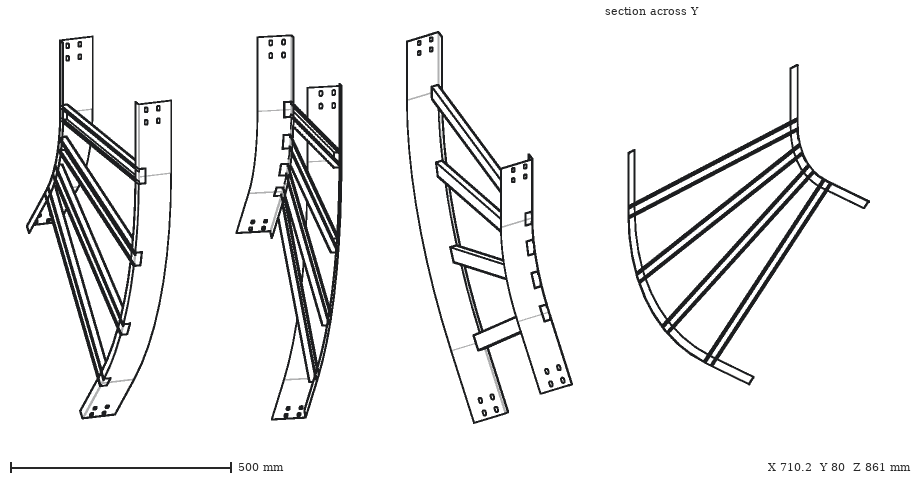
import cadquery as cq

BEND_ANGLE = 45.0
INNER_RADIUS = 300.0
TRAY_WIDTH = 500.0
OUTER_RADIUS = INNER_RADIUS + TRAY_WIDTH
STRAIGHT_LENGTH = 173.0

RAIL_HEIGHT = 80.0
RAIL_FLANGE = 20.0
RAIL_SHEET = 1.5
RAIL_BEND_RADIUS = 2.0

RUNG_COUNT = 4
RUNG_WIDTH = 37.0
RUNG_DEPTH = 17.0
RUNG_LIP = 7.0
RUNG_SHEET = 1.5

SLOT_LENGTH = 12.0
SLOT_WIDTH = 7.0
SLOT_END_DISTANCES = (15.0, 45.0)
SLOT_HEIGHTS = (19.0, 49.0)


def bent_sweep(profile):
    """Carry an XY-plane profile along the elbow: straight run, arc, straight run."""
    upper_run = profile.extrude(STRAIGHT_LENGTH)
    bend = profile.toPending().revolve(BEND_ANGLE, (0, 0, 0), (0, 1, 0))
    lower_run = turn(upper_run.mirror("XY"), BEND_ANGLE)
    return bend.union(upper_run).union(lower_run)


def turn(body, angle):
    """Rotate a body about the bend axis, from +X towards -Z."""
    return body.rotate((0, 0, 0), (0, 1, 0), angle)


def end_slots(web_face):
    """Bolt-slot cutters through one rail web, at both of its ends."""
    heights_along_z = [STRAIGHT_LENGTH - distance for distance in SLOT_END_DISTANCES]
    centres = [(y, z) for y in SLOT_HEIGHTS for z in heights_along_z]
    upper = (
        cq.Workplane("YZ", origin=(web_face, 0, 0))
        .pushPoints(centres)
        .slot2D(SLOT_LENGTH, SLOT_WIDTH, 90)
        .extrude(2 * RAIL_SHEET, both=True)
    )
    lower = turn(upper.mirror("XY"), BEND_ANGLE)
    return upper.union(lower)


def rail(web_face, flange_side):
    """L-section rail with its web outside face at radius web_face and its flange at
    the Y = 0 end, pointing away from the bend axis (+1) or towards it (-1)."""
    inside_bend_radius = RAIL_BEND_RADIUS - RAIL_SHEET
    web_back = web_face + flange_side * RAIL_SHEET
    flange_tip = web_face + flange_side * RAIL_FLANGE
    bend_end = web_face + flange_side * RAIL_BEND_RADIUS
    profile = (
        cq.Workplane("XY")
        .moveTo(web_face, RAIL_HEIGHT)
        .lineTo(web_face, RAIL_BEND_RADIUS)
        .radiusArc((bend_end, 0), -flange_side * RAIL_BEND_RADIUS)
        .lineTo(flange_tip, 0)
        .lineTo(flange_tip, RAIL_SHEET)
        .lineTo(bend_end, RAIL_SHEET)
        .radiusArc((web_back, RAIL_BEND_RADIUS), flange_side * inside_bend_radius)
        .lineTo(web_back, RAIL_HEIGHT)
        .close()
    )
    return bent_sweep(profile).cut(end_slots(web_face))


def rung():
    """Lipped channel along X, open towards the rail flanges and seated against them."""
    half_width = RUNG_WIDTH / 2
    mouth_half_width = half_width - RUNG_LIP
    cavity_half_width = half_width - RUNG_SHEET
    lip_front = RAIL_SHEET
    lip_back = lip_front + RUNG_SHEET
    web_back = lip_front + RUNG_DEPTH
    web_front = web_back - RUNG_SHEET
    section = [
        (lip_front, mouth_half_width),
        (lip_front, half_width),
        (web_back, half_width),
        (web_back, -half_width),
        (lip_front, -half_width),
        (lip_front, -mouth_half_width),
        (lip_back, -mouth_half_width),
        (lip_back, -cavity_half_width),
        (web_front, -cavity_half_width),
        (web_front, cavity_half_width),
        (lip_back, cavity_half_width),
        (lip_back, mouth_half_width),
    ]
    return cq.Workplane("YZ", origin=(INNER_RADIUS, 0, 0)).polyline(section).close().extrude(TRAY_WIDTH)


def space_between_webs():
    """Everything enclosed by the two rail webs, behind the flanges."""
    profile = (
        cq.Workplane("XY")
        .moveTo(INNER_RADIUS + RAIL_SHEET / 2, RAIL_SHEET)
        .rect(TRAY_WIDTH - RAIL_SHEET, RAIL_HEIGHT - RAIL_SHEET, centered=False)
    )
    return bent_sweep(profile)


def rungs():
    """Rungs spread evenly over the bend, with their ends trimmed to the rail webs."""
    pitch = BEND_ANGLE / (RUNG_COUNT - 1)
    rung_set = rung()
    for index in range(1, RUNG_COUNT):
        rung_set = rung_set.union(turn(rung(), index * pitch))
    return rung_set.intersect(space_between_webs())


inner_rail = rail(INNER_RADIUS, 1)
outer_rail = rail(OUTER_RADIUS, -1)
result = inner_rail.union(outer_rail).union(rungs())